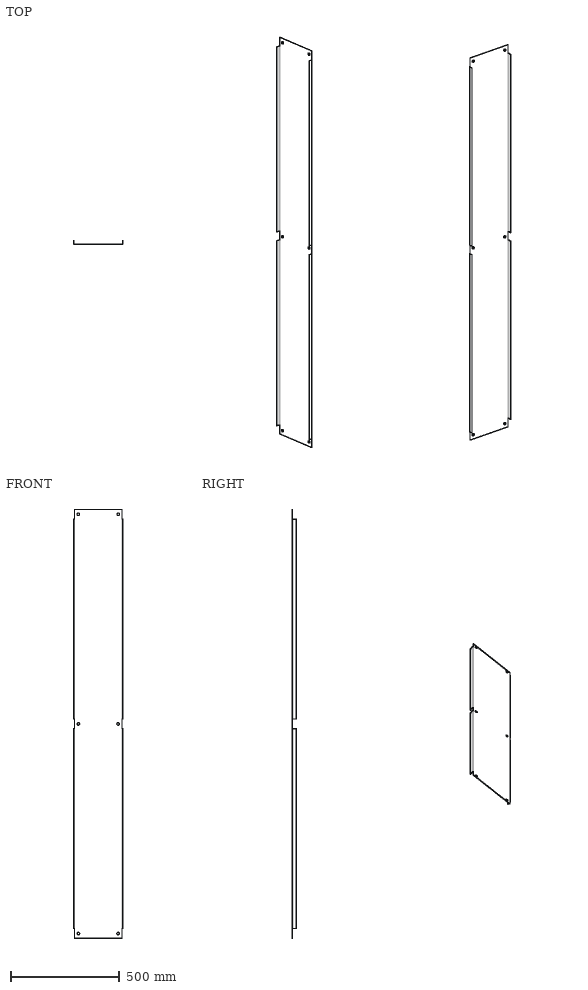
import cadquery as cq

WIDTH = 228.6
DEPTH = 19.05
HEIGHT = 1981.2

THICKNESS = 2.38125
BEND_INNER_RADIUS = THICKNESS / 2
BEND_OUTER_RADIUS = BEND_INNER_RADIUS + THICKNESS
FLAT_WIDTH = WIDTH - 2 * BEND_OUTER_RADIUS

FLANGE_GAP = 44.45
FLANGE_LENGTH = (HEIGHT - 3 * FLANGE_GAP) / 2
FLANGE_BOTTOMS = (-HEIGHT / 2 + FLANGE_GAP, FLANGE_GAP / 2)

HOLE_DIAMETER = 11.1125
HOLE_EDGE_DISTANCE = FLANGE_GAP / 2
HOLE_COLUMNS = 2
HOLE_ROWS = 3
HOLE_COLUMN_SPACING = WIDTH - 2 * HOLE_EDGE_DISTANCE
HOLE_ROW_SPACING = (HEIGHT - 2 * HOLE_EDGE_DISTANCE) / (HOLE_ROWS - 1)


def make_web():
    """Flat plate running the full height between the bend lines."""
    return cq.Workplane("XY").box(FLAT_WIDTH, THICKNESS, HEIGHT, centered=(True, False, True))


def make_flange(bottom):
    """Flange on the +X side with its rounded bend, starting at the given height."""
    bend_x = FLAT_WIDTH / 2
    outer_x = WIDTH / 2
    inner_x = outer_x - THICKNESS
    return (
        cq.Workplane("XY", origin=(0, 0, bottom))
        .moveTo(bend_x, 0)
        .radiusArc((outer_x, BEND_OUTER_RADIUS), -BEND_OUTER_RADIUS)
        .lineTo(outer_x, DEPTH)
        .lineTo(inner_x, DEPTH)
        .lineTo(inner_x, BEND_OUTER_RADIUS)
        .radiusArc((bend_x, THICKNESS), BEND_INNER_RADIUS)
        .close()
        .extrude(FLANGE_LENGTH)
    )


def make_holes():
    """Cutters for the mounting holes, passing through the web."""
    return (
        cq.Workplane("XZ")
        .rarray(HOLE_COLUMN_SPACING, HOLE_ROW_SPACING, HOLE_COLUMNS, HOLE_ROWS)
        .circle(HOLE_DIAMETER / 2)
        .extrude(-THICKNESS)
    )


panel = make_web()
for flange_bottom in FLANGE_BOTTOMS:
    flange = make_flange(flange_bottom)
    panel = panel.union(flange).union(flange.mirror("YZ"))

result = panel.cut(make_holes())